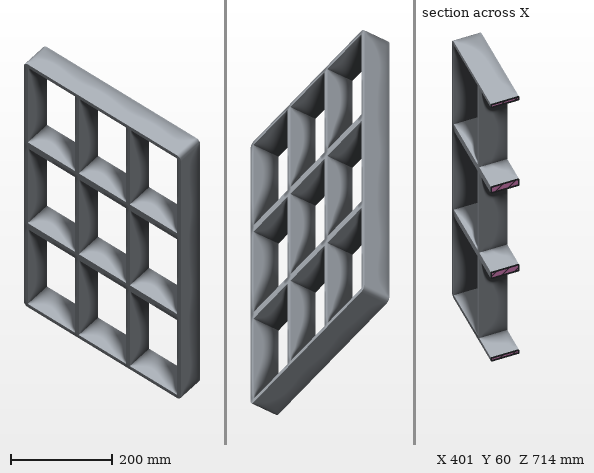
import cadquery as cq

width = 401.0
depth = 60.0
height = 714.0
corner_radius = 11.0

side_wall = 10.0
end_wall = 9.0
upright_thickness = 10.0
shelf_thickness = 18.0

columns = 3
rows = 3
opening_width = (width - 2 * side_wall - (columns - 1) * upright_thickness) / columns
opening_height = (height - 2 * end_wall - (rows - 1) * shelf_thickness) / rows
column_pitch = opening_width + upright_thickness
row_pitch = opening_height + shelf_thickness

frame = cq.Workplane("XY").box(width, depth, height).edges("|Y").fillet(corner_radius)

openings = (
    cq.Workplane("XZ")
    .rarray(column_pitch, row_pitch, columns, rows)
    .rect(opening_width, opening_height)
    .extrude(depth, both=True)
)

result = frame.cut(openings)